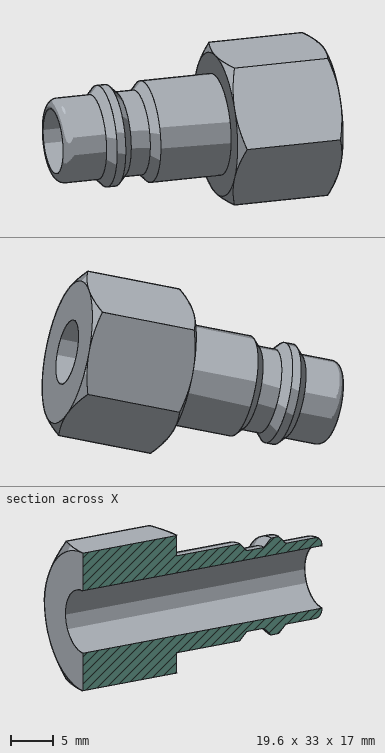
import cadquery as cq
import math

TOTAL_LENGTH = 33.0

HEX_ACROSS_FLATS = 17.0
HEX_LENGTH = 13.0
HEX_CHAMFER_ANGLE = 30.0

COLLAR_RADIUS = 6.0
NECK_RADIUS = 5.0
COLLAR_LENGTH = 8.65
GROOVE_LENGTH = 2.35
RIB_LAND = 1.05
STEP_LENGTH = COLLAR_RADIUS - NECK_RADIUS
TIP_ROUND = 1.0

BORE_RADIUS = 3.83
MOUTH_RADIUS = NECK_RADIUS - TIP_ROUND


def hex_body():
    """Hexagon with corners on the X axis, both ends turned to a cone."""
    flat_radius = HEX_ACROSS_FLATS / 2
    corner_radius = flat_radius / math.cos(math.pi / 6)
    chamfer_drop = (corner_radius - flat_radius) * math.tan(math.radians(HEX_CHAMFER_ANGLE))
    prism = cq.Workplane("XZ").polygon(6, 2 * corner_radius).extrude(HEX_LENGTH)
    turned_blank = (
        cq.Workplane("XY")
        .polyline([
            (0, 0),
            (flat_radius, 0),
            (corner_radius, -chamfer_drop),
            (corner_radius, chamfer_drop - HEX_LENGTH),
            (flat_radius, -HEX_LENGTH),
            (0, -HEX_LENGTH),
        ])
        .close()
        .revolve(360, (0, 0, 0), (0, 1, 0))
    )
    return prism.intersect(turned_blank)


def nose():
    """Turned nose: collar, locking groove, rib and rounded tip."""
    collar_end = -HEX_LENGTH - COLLAR_LENGTH
    groove_start = collar_end - STEP_LENGTH
    groove_end = groove_start - GROOVE_LENGTH
    rib_start = groove_end - STEP_LENGTH
    rib_end = rib_start - RIB_LAND
    tip_start = rib_end - STEP_LENGTH
    round_start = TIP_ROUND - TOTAL_LENGTH
    arc_reach = TIP_ROUND * math.sqrt(0.5)
    return (
        cq.Workplane("XY")
        .moveTo(0, -HEX_LENGTH)
        .lineTo(COLLAR_RADIUS, -HEX_LENGTH)
        .lineTo(COLLAR_RADIUS, collar_end)
        .lineTo(NECK_RADIUS, groove_start)
        .lineTo(NECK_RADIUS, groove_end)
        .lineTo(COLLAR_RADIUS, rib_start)
        .lineTo(COLLAR_RADIUS, rib_end)
        .lineTo(NECK_RADIUS, tip_start)
        .lineTo(NECK_RADIUS, round_start)
        .threePointArc(
            (MOUTH_RADIUS + arc_reach, round_start - arc_reach),
            (MOUTH_RADIUS, -TOTAL_LENGTH),
        )
        .lineTo(0, -TOTAL_LENGTH)
        .close()
        .revolve(360, (0, 0, 0), (0, 1, 0))
    )


def bore():
    """Straight hole through the whole part."""
    return cq.Workplane("XZ").circle(BORE_RADIUS).extrude(TOTAL_LENGTH)


result = hex_body().union(nose()).cut(bore())